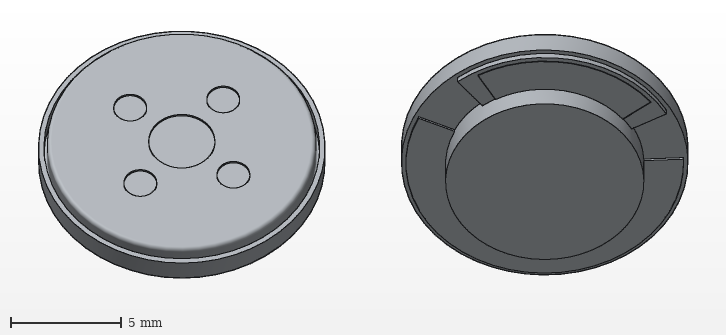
import cadquery as cq
import math

flange_diameter = 13.0
flange_height = 1.15

hub_diameter = 9.0
hub_depth = 1.4

cap_diameter = 12.2
cap_height = 0.45
cap_fillet = 0.2
cap_top = flange_height + cap_height

groove_diameter = 12.5
groove_depth = 0.7
groove_floor = flange_height - groove_depth
groove_fillet = 0.1

recess_depth = 0.1
center_recess_diameter = 3.0
small_recess_diameter = 1.5
small_recess_count = 4
small_recess_circle_diameter = 6.0
small_recess_start_angle = 22.5

sector_diameter = 12.6
thin_sector_depth = 0.12
thin_sector_half_angle = 103.7
thick_sector_depth = 0.3
thick_sector_half_angle = 50.0
pad_diameter = 12.2
pad_height = 0.04
pad_half_angle = 41.0


def disc(diameter, bottom, height):
    return cq.Workplane("XY").workplane(offset=bottom).circle(diameter / 2).extrude(height)


def polar(radius, angle):
    return (radius * math.cos(math.radians(angle)), radius * math.sin(math.radians(angle)))


def sector(diameter, middle_angle, half_angle, depth):
    """Pie slice hanging below the flange; its tip lies inside the hub."""
    radius = diameter / 2
    return (
        cq.Workplane("XY")
        .moveTo(0, 0)
        .lineTo(*polar(radius, middle_angle - half_angle))
        .threePointArc(polar(radius, middle_angle), polar(radius, middle_angle + half_angle))
        .close()
        .extrude(-depth)
    )


body = disc(flange_diameter, 0, flange_height)
body = body.cut(disc(groove_diameter, groove_floor, groove_depth))

cap = disc(cap_diameter, groove_floor, groove_depth + cap_height)
body = body.union(cap.faces(">Z").edges().fillet(cap_fillet))
foot_reach = cap_diameter / 2 + groove_fillet / 2
foot_box = cq.selectors.BoxSelector(
    (-foot_reach, -foot_reach, groove_floor - groove_fillet / 2),
    (foot_reach, foot_reach, groove_floor + groove_fillet / 2),
    boundingbox=True,
)
body = body.edges(foot_box).fillet(groove_fillet)

body = body.union(disc(hub_diameter, -hub_depth, hub_depth))
body = body.union(sector(sector_diameter, 180, thin_sector_half_angle, thin_sector_depth))
body = body.union(sector(sector_diameter, 0, thick_sector_half_angle, thick_sector_depth))
body = body.union(sector(pad_diameter, 0, pad_half_angle, thick_sector_depth + pad_height))

recess_floor = cap_top - recess_depth
body = body.cut(disc(center_recess_diameter, recess_floor, recess_depth))
small_recess = disc(small_recess_diameter, recess_floor, recess_depth)
for index in range(small_recess_count):
    angle = small_recess_start_angle + index * 360 / small_recess_count
    center_x, center_y = polar(small_recess_circle_diameter / 2, angle)
    body = body.cut(small_recess.translate((center_x, center_y, 0)))

result = body